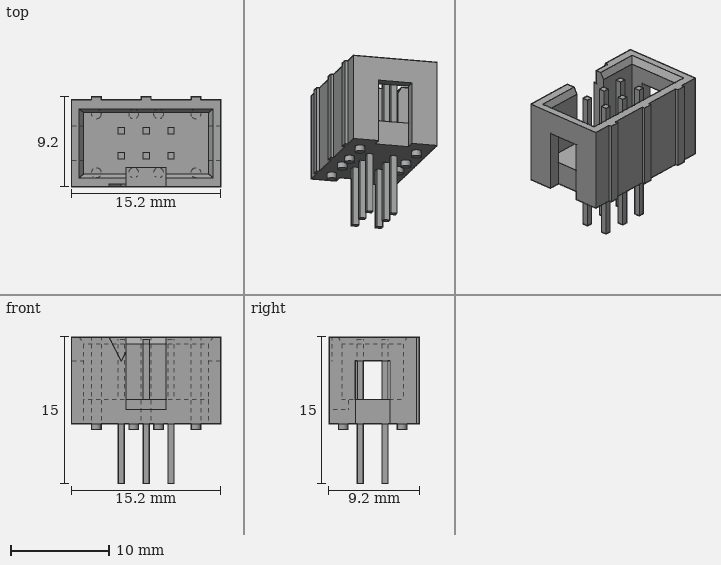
import cadquery as cq


length = 15.24
width = 8.9
height = 8.85
end_wall = 1.25
long_wall = 1.33
floor_top = 2.5

flare_end = 0.45
flare_long = 0.4
flare_depth = 0.69

key_width = 4.07
key_depth = 2.0
key_bottom = 1.48
window_width = 3.54
window_lintel = 2.42
window_top = height - window_lintel

mark_half_width = 1.25
mark_height = 2.47
mark_depth = 0.3

pitch = length / 6
pin_columns = 3
pin_rows = 2
pin_size = 0.64
pin_recess = 0.25
pin_top = height - pin_recess
pin_tail = 6.1

peg_diameter = 1.0
peg_height = 0.6
peg_row_offset = 3.0
peg_columns = [-2 * pitch, -pitch / 2, pitch / 2, 2 * pitch]

rib_width = 1.0
rib_depth = 0.3
rib_spacing = 2 * pitch

front_face = -width / 2
back_face = width / 2
cavity_length = length - 2 * end_wall
cavity_width = width - 2 * long_wall


def block(x_size, y_range, z_range):
    """Box centred on X = 0 that fills the given Y and Z ranges."""
    y_min, y_max = y_range
    z_min, z_max = z_range
    box = cq.Workplane("XY").box(x_size, y_max - y_min, z_max - z_min, centered=(True, False, False))
    return box.translate((0, y_min, z_min))


def cavity():
    """Straight-sided pocket with a rim that flares outward to the top."""
    pocket = block(cavity_length, (-cavity_width / 2, cavity_width / 2), (floor_top, height))
    flare = (
        cq.Workplane("XY", origin=(0, 0, height - flare_depth))
        .rect(cavity_length, cavity_width)
        .workplane(offset=flare_depth)
        .rect(cavity_length + 2 * flare_end, cavity_width + 2 * flare_long)
        .loft(ruled=True)
    )
    return pocket.union(flare)


def key_notch():
    """Polarising notch, open at the top, that also steps down into the cavity floor."""
    return block(key_width, (front_face, front_face + key_depth), (key_bottom, height))


def end_window(side):
    """Slot through one end wall, open at the underside; side is -1 or 1."""
    slot = block(end_wall, (-window_width / 2, window_width / 2), (0, window_top))
    return slot.translate((side * (length - end_wall) / 2, 0, 0))


def pin_one_mark():
    """Triangle pointing down at the first pin column."""
    return (
        cq.Workplane("XZ", origin=(-pitch, front_face, 0))
        .moveTo(-mark_half_width, height)
        .lineTo(mark_half_width, height)
        .lineTo(0, height - mark_height)
        .close()
        .extrude(-mark_depth)
    )


def ribs():
    """Three full-height ribs on the back face."""
    rib = block(rib_width, (back_face, back_face + rib_depth), (0, height))
    row = rib
    for side in (-1, 1):
        row = row.union(rib.translate((side * rib_spacing, 0, 0)))
    return row


def pins():
    """Square pins that run through the floor."""
    return (
        cq.Workplane("XY", origin=(0, 0, -pin_tail))
        .rarray(pitch, pitch, pin_columns, pin_rows)
        .rect(pin_size, pin_size)
        .extrude(pin_tail + pin_top)
    )


def pegs():
    """Two rows of round standoffs."""
    centres = [(x, side * peg_row_offset) for x in peg_columns for side in (-1, 1)]
    return cq.Workplane("XY").pushPoints(centres).circle(peg_diameter / 2).extrude(-peg_height)


housing = block(length, (front_face, back_face), (0, height))
housing = housing.cut(cavity()).cut(key_notch()).cut(pin_one_mark())
for end in (-1, 1):
    housing = housing.cut(end_window(end))

result = housing.union(ribs()).union(pegs()).union(pins())